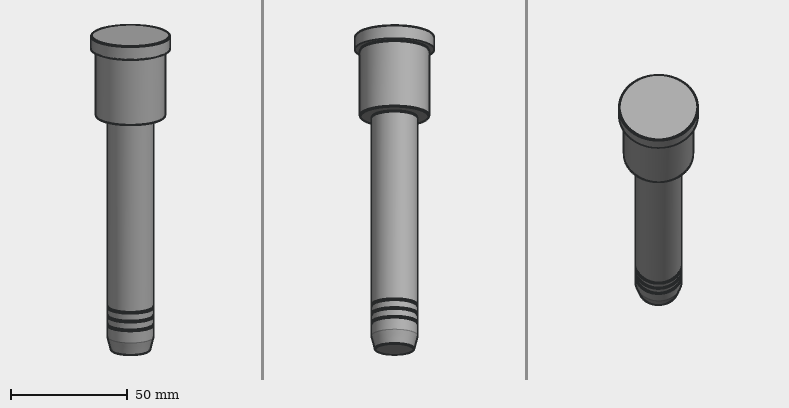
import cadquery as cq

total_length = 140.0
head_height = 6.0
body_bottom_depth = 36.0

head_radius = 34.0 / 2
body_radius = 30.0 / 2
shaft_radius = 20.0 / 2
tip_radius = 8.5

head_chamfer = 0.5
body_chamfer = 0.5
tip_chamfer = 0.4

tip_height = 6.2

relief_width = 0.8
relief_depth = 0.4
body_relief_taper = relief_depth
shaft_relief_taper = relief_width

oil_groove_count = 3
first_oil_groove_z = 11.6
oil_groove_pitch = 3.9
oil_groove_width = 1.0
oil_groove_depth = oil_groove_width / 2

head_bottom_z = total_length - head_height
body_bottom_z = total_length - body_bottom_depth


def cylinder(radius, bottom_z, top_z):
    """Solid cylinder about the Z axis between two heights."""
    return cq.Workplane("XY").workplane(offset=bottom_z).circle(radius).extrude(top_z - bottom_z)


def revolved(points):
    """Solid turned about the Z axis from a closed outline of (radius, z) points."""
    return cq.Workplane("XZ").polyline(points).close().revolve(360, (0, 0, 0), (0, 1, 0))


def shoulder_relief(radius, shoulder_z, taper_height):
    """Ring to cut below a shoulder: any straight wall first, then a taper out to the surface."""
    floor_radius = radius - relief_depth
    taper_top_z = shoulder_z - relief_width + taper_height
    points = [(radius, shoulder_z - relief_width), (radius, shoulder_z), (floor_radius, shoulder_z)]
    if taper_height < relief_width:
        points.append((floor_radius, taper_top_z))
    return revolved(points)


def v_groove(radius, center_z):
    """Ring of V section, with its point towards the axis, to cut an oil groove."""
    half_width = oil_groove_width / 2
    return revolved(
        [
            (radius, center_z - half_width),
            (radius - oil_groove_depth, center_z),
            (radius, center_z + half_width),
        ]
    )


def make_tip():
    """Tapered lead-in with a small chamfer at its end."""
    return revolved(
        [
            (0, 0),
            (tip_radius - tip_chamfer, 0),
            (tip_radius, tip_chamfer),
            (shaft_radius, tip_height),
            (0, tip_height),
        ]
    )


head = cylinder(head_radius, head_bottom_z, total_length).faces(">Z").chamfer(head_chamfer)
body = cylinder(body_radius, body_bottom_z, head_bottom_z).faces("<Z").chamfer(body_chamfer)
shaft = cylinder(shaft_radius, tip_height, body_bottom_z)

body = body.cut(shoulder_relief(body_radius, head_bottom_z, body_relief_taper))
shaft = shaft.cut(shoulder_relief(shaft_radius, body_bottom_z, shaft_relief_taper))

for index in range(oil_groove_count):
    groove_z = first_oil_groove_z + index * oil_groove_pitch
    shaft = shaft.cut(v_groove(shaft_radius, groove_z))

result = head.union(body).union(shaft).union(make_tip())